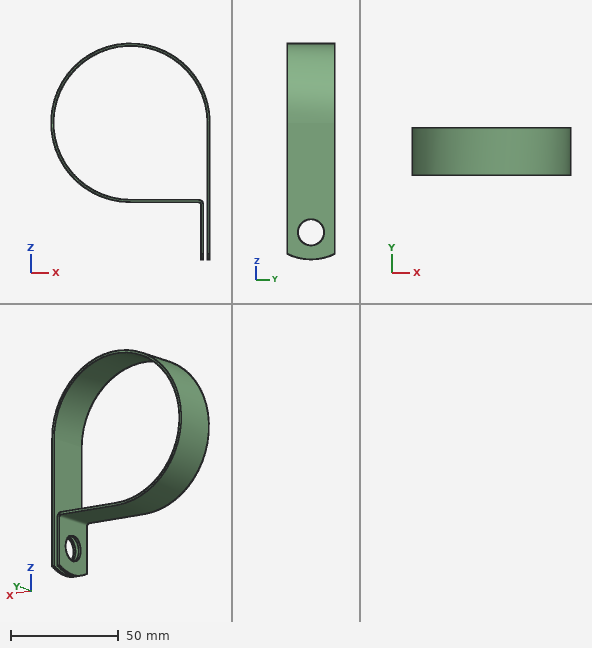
import cadquery as cq
import math

loop_diameter = 73.8
band_width = 22.2
total_height = 100.4
thickness = 1.2
tab_gap = 1.8
bend_radius = 2.4
hole_diameter = 12.1
hole_above_end = 12.7
tip_rise = 2.6

outer_radius = loop_diameter / 2
inner_radius = outer_radius - thickness
tip_z = outer_radius - total_height
short_tab_right = inner_radius - tab_gap
short_tab_left = short_tab_right - thickness
bend_inner_radius = bend_radius - thickness
bend_center_x = short_tab_right - bend_radius
bend_center_z = -inner_radius - bend_radius
half_width = band_width / 2
diagonal = math.sqrt(0.5)


def make_strap():
    """Bent strip: long tab, three-quarter loop, flat run and short tab."""
    profile = (
        cq.Workplane("XZ")
        .moveTo(outer_radius, tip_z)
        .lineTo(outer_radius, 0)
        .threePointArc((-outer_radius * diagonal, outer_radius * diagonal), (0, -outer_radius))
        .lineTo(bend_center_x, -outer_radius)
        .threePointArc(
            (
                bend_center_x + bend_inner_radius * diagonal,
                bend_center_z + bend_inner_radius * diagonal,
            ),
            (short_tab_left, bend_center_z),
        )
        .lineTo(short_tab_left, tip_z)
        .lineTo(short_tab_right, tip_z)
        .lineTo(short_tab_right, bend_center_z)
        .threePointArc(
            (bend_center_x + bend_radius * diagonal, bend_center_z + bend_radius * diagonal),
            (bend_center_x, -inner_radius),
        )
        .lineTo(0, -inner_radius)
        .threePointArc((-inner_radius * diagonal, inner_radius * diagonal), (inner_radius, 0))
        .lineTo(inner_radius, tip_z)
        .close()
    )
    return profile.extrude(half_width, both=True)


def make_side_outline():
    """Block with a rounded lower end that trims both tab tips."""
    return (
        cq.Workplane("YZ", origin=(-outer_radius, 0, 0))
        .moveTo(-half_width, outer_radius)
        .lineTo(-half_width, tip_z + tip_rise)
        .threePointArc((0, tip_z), (half_width, tip_z + tip_rise))
        .lineTo(half_width, outer_radius)
        .close()
        .extrude(loop_diameter)
    )


def make_bolt_hole():
    """Cylinder along X through both tabs."""
    return (
        cq.Workplane("YZ", origin=(0, 0, tip_z + hole_above_end))
        .circle(hole_diameter / 2)
        .extrude(loop_diameter)
    )


result = make_strap().intersect(make_side_outline()).cut(make_bolt_hole())